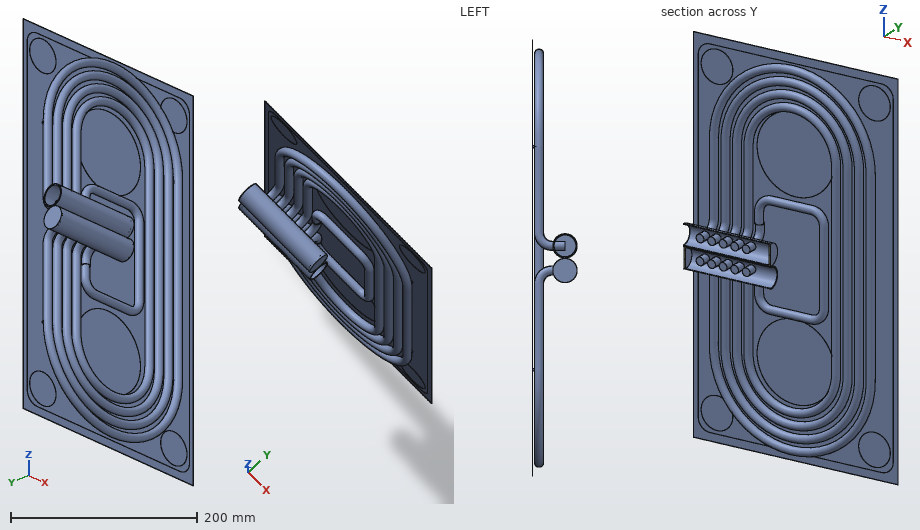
import cadquery as cq
import math

PLATE_WIDTH = 260.0
PLATE_HEIGHT = 468.0
PLATE_THICKNESS = 0.5
PANEL_WIDTH = 248.0
PANEL_HEIGHT = 448.5
PANEL_CORNER_RADIUS = 15.0
PANEL_DEPTH = 0.2

LARGE_PAD_RADIUS = 49.0
CORNER_PAD_RADIUS = 20.0
CORNER_PAD_X = 100.0
CORNER_PAD_Z = 200.0

PIPE_DIAMETER = 10.0
PIPE_CLEARANCE = 2.0
COIL_COUNT = 4
OUTER_COIL_RADIUS = 99.5
INNER_COIL_RADIUS = 55.5
COIL_CENTRE_Z = 120.0

LOOP_LEFT_X = -42.0
LOOP_RIGHT_X = 40.2
LOOP_HALF_HEIGHT = 63.0
LOOP_CORNER_RADIUS = 15.5
STUB_END_Z = 33.5

MANIFOLD_RADIUS = 13.0
MANIFOLD_WALL = 1.5
MANIFOLD_LEFT_X = -120.5
MANIFOLD_RIGHT_X = -9.5
MANIFOLD_AXIS_Y = -35.0
MANIFOLD_GAP = 0.25
CAP_THICKNESS = 3.0

ELBOW_RADIUS = 14.0

SPACER_DIAMETER = 3.0

pipe_radius = PIPE_DIAMETER / 2
pipe_axis_y = -(PLATE_THICKNESS + PIPE_CLEARANCE + pipe_radius)
manifold_axis_z = MANIFOLD_RADIUS + MANIFOLD_GAP / 2
elbow_start_z = manifold_axis_z + ELBOW_RADIUS
panel_face_y = PANEL_DEPTH - PLATE_THICKNESS
coil_pitch = (OUTER_COIL_RADIUS - INNER_COIL_RADIUS) / (COIL_COUNT - 1)
coil_radii = [OUTER_COIL_RADIUS - coil_pitch * i for i in range(COIL_COUNT)]
inlet_xs = [-OUTER_COIL_RADIUS + coil_pitch * i for i in range(COIL_COUNT + 1)]


def front_plane(y):
    """Upright sketch plane at the given Y, with its normal along -Y."""
    return cq.Workplane("XZ", origin=(0, y, 0))


def sweep_pipe(path, start_x, start_z):
    """Sweep the round pipe section along a path that leaves its start straight up Z."""
    section = cq.Workplane("XY", origin=(start_x, pipe_axis_y, start_z)).circle(pipe_radius)
    return section.sweep(path)


def make_plate():
    plate = front_plane(0).rect(PLATE_WIDTH, PLATE_HEIGHT).extrude(PLATE_THICKNESS)
    recess = (
        front_plane(panel_face_y)
        .rect(PANEL_WIDTH, PANEL_HEIGHT)
        .extrude(PANEL_DEPTH)
        .edges("|Y")
        .fillet(PANEL_CORNER_RADIUS)
    )
    large_pads = (
        front_plane(panel_face_y)
        .pushPoints([(0, COIL_CENTRE_Z), (0, -COIL_CENTRE_Z)])
        .circle(LARGE_PAD_RADIUS)
        .extrude(PANEL_DEPTH)
    )
    corner_pads = (
        front_plane(panel_face_y)
        .rect(2 * CORNER_PAD_X, 2 * CORNER_PAD_Z, forConstruction=True)
        .vertices()
        .circle(CORNER_PAD_RADIUS)
        .extrude(PANEL_DEPTH)
    )
    return plate.cut(recess.cut(large_pads).cut(corner_pads))


def make_coil(radius):
    """Racetrack pipe that is open on its left leg, between the two manifold elbows."""
    path = (
        front_plane(pipe_axis_y)
        .moveTo(-radius, elbow_start_z)
        .lineTo(-radius, COIL_CENTRE_Z)
        .threePointArc((0, COIL_CENTRE_Z + radius), (radius, COIL_CENTRE_Z))
        .lineTo(radius, -COIL_CENTRE_Z)
        .threePointArc((0, -COIL_CENTRE_Z - radius), (-radius, -COIL_CENTRE_Z))
        .lineTo(-radius, -elbow_start_z)
    )
    return sweep_pipe(path, -radius, elbow_start_z)


def make_loop():
    """Rectangular pipe loop with rounded corners, open on its left leg."""
    r = LOOP_CORNER_RADIUS
    top = LOOP_HALF_HEIGHT
    path = (
        front_plane(pipe_axis_y)
        .moveTo(LOOP_LEFT_X, STUB_END_Z)
        .lineTo(LOOP_LEFT_X, top - r)
        .tangentArcPoint((LOOP_LEFT_X + r, top), relative=False)
        .lineTo(LOOP_RIGHT_X - r, top)
        .tangentArcPoint((LOOP_RIGHT_X, top - r), relative=False)
        .lineTo(LOOP_RIGHT_X, r - top)
        .tangentArcPoint((LOOP_RIGHT_X - r, -top), relative=False)
        .lineTo(LOOP_LEFT_X + r, -top)
        .tangentArcPoint((LOOP_LEFT_X, r - top), relative=False)
        .lineTo(LOOP_LEFT_X, -STUB_END_Z)
    )
    return sweep_pipe(path, LOOP_LEFT_X, STUB_END_Z)


def make_upper_elbow(x, start_z):
    """Pipe that drops from start_z, bends forwards and runs to the upper manifold axis."""
    bend_end_y = pipe_axis_y - ELBOW_RADIUS
    diagonal = ELBOW_RADIUS * math.cos(math.radians(45))
    bend_middle = (bend_end_y + diagonal, elbow_start_z - diagonal)
    path = cq.Workplane("YZ", origin=(x, 0, 0)).moveTo(pipe_axis_y, start_z)
    if start_z > elbow_start_z:
        path = path.lineTo(pipe_axis_y, elbow_start_z)
    path = path.threePointArc(bend_middle, (bend_end_y, manifold_axis_z))
    path = path.lineTo(MANIFOLD_AXIS_Y, manifold_axis_z)
    return sweep_pipe(path, x, start_z)


def make_upper_manifold():
    """Tube open at its left end and capped at its right end."""
    length = MANIFOLD_RIGHT_X - MANIFOLD_LEFT_X
    start = cq.Workplane("YZ", origin=(MANIFOLD_LEFT_X, MANIFOLD_AXIS_Y, manifold_axis_z))
    body = start.circle(MANIFOLD_RADIUS).extrude(length)
    bore = start.circle(MANIFOLD_RADIUS - MANIFOLD_WALL).extrude(length - CAP_THICKNESS)
    return body.cut(bore)


def make_spacers():
    height = panel_face_y - pipe_axis_y
    return (
        front_plane(panel_face_y)
        .rect(2 * OUTER_COIL_RADIUS, 2 * COIL_CENTRE_Z, forConstruction=True)
        .vertices()
        .circle(SPACER_DIAMETER / 2)
        .extrude(height)
    )


def make_lower_manifold(upper):
    """Upper manifold turned half a turn about Y, so its cap is at the left end."""
    middle_x = (MANIFOLD_LEFT_X + MANIFOLD_RIGHT_X) / 2
    return upper.rotate((middle_x, 0, 0), (middle_x, 1, 0), 180)


upper_manifold = make_upper_manifold()

result = make_plate().union(make_spacers())
for coil_radius in coil_radii:
    result = result.union(make_coil(coil_radius))
result = result.union(make_loop()).union(upper_manifold).union(make_lower_manifold(upper_manifold))
for inlet_x in inlet_xs:
    start = STUB_END_Z if inlet_x == inlet_xs[-1] else elbow_start_z
    elbow = make_upper_elbow(inlet_x, start)
    result = result.union(elbow).union(elbow.mirror("XY"))